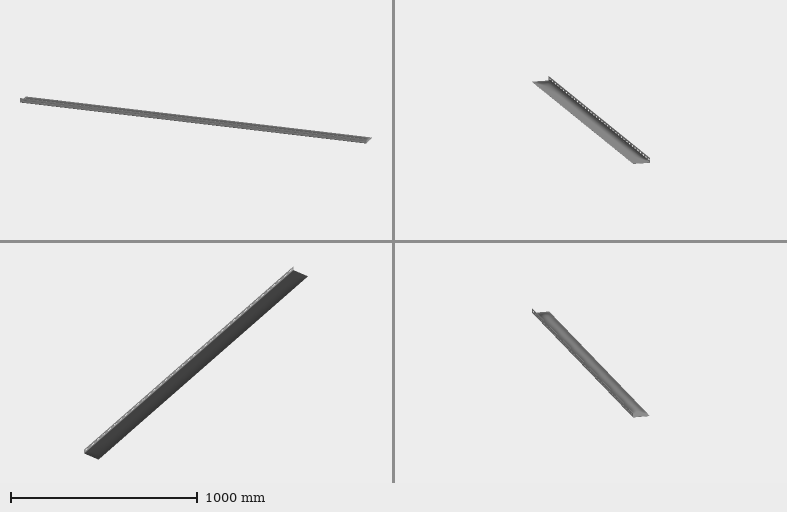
import cadquery as cq
import math

length = 1956.0
width = 95.0
height = 25.9

thickness = 1.5
inner_bend_radius = 1.5
outer_bend_radius = inner_bend_radius + thickness

slot_count = 37
slot_pitch = 53.0
slot_length = 28.0
slot_height = 8.0
slot_center_z = 14.0


def make_angle_strip():
    """L-shaped bent sheet, running along X, with a rounded free edge on the wide leg."""
    edge_radius = thickness / 2
    bend_center = outer_bend_radius
    inner_mid = bend_center - inner_bend_radius * math.sqrt(0.5)
    outer_mid = bend_center - outer_bend_radius * math.sqrt(0.5)
    profile = (
        cq.Workplane("YZ")
        .moveTo(bend_center, 0)
        .lineTo(width - edge_radius, 0)
        .threePointArc((width, edge_radius), (width - edge_radius, thickness))
        .lineTo(bend_center, thickness)
        .threePointArc((inner_mid, inner_mid), (thickness, bend_center))
        .lineTo(thickness, height)
        .lineTo(0, height)
        .lineTo(0, bend_center)
        .threePointArc((outer_mid, outer_mid), (bend_center, 0))
        .close()
    )
    return profile.extrude(length)


def make_slot_cutters():
    """Evenly spaced slots, centred on the strip length, passing through the flange only."""
    first_slot_x = (length - (slot_count - 1) * slot_pitch) / 2
    centers = [(first_slot_x + i * slot_pitch, slot_center_z) for i in range(slot_count)]
    return (
        cq.Workplane("XZ")
        .pushPoints(centers)
        .slot2D(slot_length, slot_height)
        .extrude(-thickness)
    )


result = make_angle_strip().cut(make_slot_cutters())